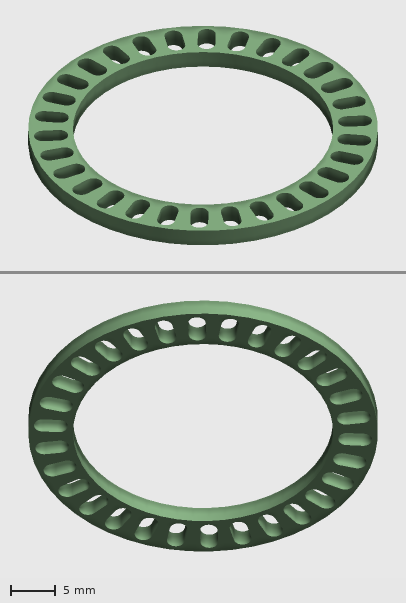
import cadquery as cq

outer_diameter = 39.0
inner_diameter = 29.0
thickness = 2.0

slot_count = 30
slot_length = 3.8
slot_width = 2.0
slot_circle_radius = (outer_diameter + inner_diameter) / 4
first_slot_angle = 90.0


def make_ring():
    return (
        cq.Workplane("XY")
        .circle(outer_diameter / 2)
        .circle(inner_diameter / 2)
        .extrude(thickness)
    )


def make_slots():
    """Round-ended through cutters, each with its long axis pointing at the ring centre."""
    return (
        cq.Workplane("XY")
        .polarArray(slot_circle_radius, first_slot_angle, 360, slot_count)
        .slot2D(slot_length, slot_width)
        .extrude(thickness)
    )


result = make_ring().cut(make_slots())